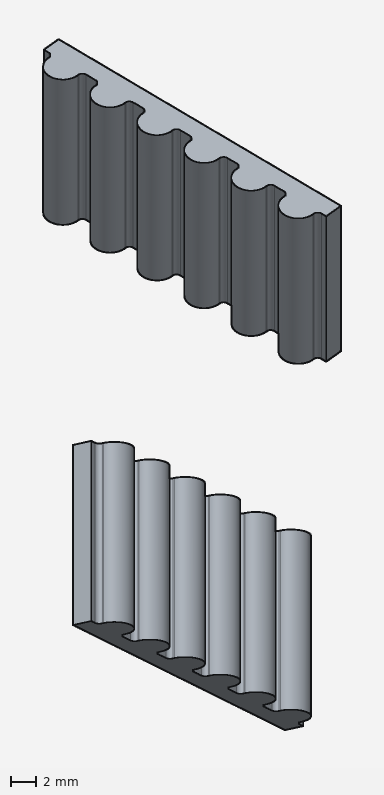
import cadquery as cq

pitch = 5.0
tooth_count = 6
belt_width = 15.0
belt_thickness = 3.81
tooth_height = 2.08
tooth_radius = 1.565
root_fillet = 0.41

belt_length = pitch * tooth_count
back_thickness = belt_thickness - tooth_height
tip_center_y = -belt_thickness + tooth_radius


def make_back():
    """Flat strip that carries the teeth."""
    return cq.Workplane("XY", origin=(0, -back_thickness, 0)).box(
        belt_length, back_thickness, belt_width, centered=(True, False, True)
    )


def make_tooth(center_x):
    """Round-tipped tooth with straight flanks and concave root fillets."""
    root_y = -back_thickness
    fillet_y = root_y - root_fillet
    left_x = center_x - tooth_radius
    right_x = center_x + tooth_radius
    return (
        cq.Workplane("XY", origin=(0, 0, -belt_width / 2))
        .moveTo(left_x - root_fillet, root_y)
        .radiusArc((left_x, fillet_y), root_fillet)
        .lineTo(left_x, tip_center_y)
        .threePointArc((center_x, -belt_thickness), (right_x, tip_center_y))
        .lineTo(right_x, fillet_y)
        .radiusArc((right_x + root_fillet, root_y), root_fillet)
        .close()
        .extrude(belt_width)
    )


result = make_back()
for index in range(tooth_count):
    tooth_center_x = (index + 0.5) * pitch - belt_length / 2
    result = result.union(make_tooth(tooth_center_x))